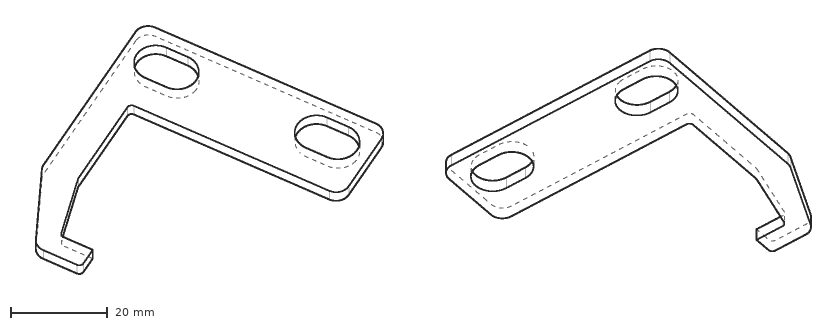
import cadquery as cq

width = 58.0
height = 62.0
thickness = 3.0

plate_height = 20.0
corner_radius = 3.0

arm_width = 8.0
outer_bend_y = 18.85
inner_bend_y = 19.85
foot_height = 5.0
heel_outer_x = 8.75
heel_inner_x = 11.95
foot_tip_x = 19.6
small_radius = 1.0

slot_length = 14.0
slot_width = 9.0
slot_edge_distance = 10.05
slot_top_distance = 8.0

plate_bottom_y = height - plate_height

outline = [
    (0, height),
    (width, height),
    (width, plate_bottom_y),
    (arm_width, plate_bottom_y),
    (arm_width, inner_bend_y),
    (heel_inner_x, foot_height),
    (foot_tip_x, foot_height),
    (foot_tip_x, 0),
    (heel_outer_x, 0),
    (0, outer_bend_y),
]
large_corners = [
    (0, height),
    (width, height),
    (width, plate_bottom_y),
    (heel_outer_x, 0),
    (0, outer_bend_y),
]
small_corners = [
    (arm_width, plate_bottom_y),
    (arm_width, inner_bend_y),
    (heel_inner_x, foot_height),
    (foot_tip_x, 0),
]


def round_corners(body, corners, radius):
    """Fillet the upright edge at each of the given outline corners."""
    for x, y in corners:
        upright_edge = cq.selectors.NearestToPointSelector((x, y, thickness / 2))
        body = body.edges("|Z").edges(upright_edge).fillet(radius)
    return body


bracket = cq.Workplane("XY").polyline(outline).close().extrude(thickness)
bracket = round_corners(bracket, large_corners, corner_radius)
bracket = round_corners(bracket, small_corners, small_radius)

slot_y = height - slot_top_distance
slot_centers = [
    (slot_edge_distance, slot_y),
    (width - slot_edge_distance, slot_y),
]
slots = (
    cq.Workplane("XY")
    .pushPoints(slot_centers)
    .slot2D(slot_length, slot_width)
    .extrude(thickness)
)

result = bracket.cut(slots)